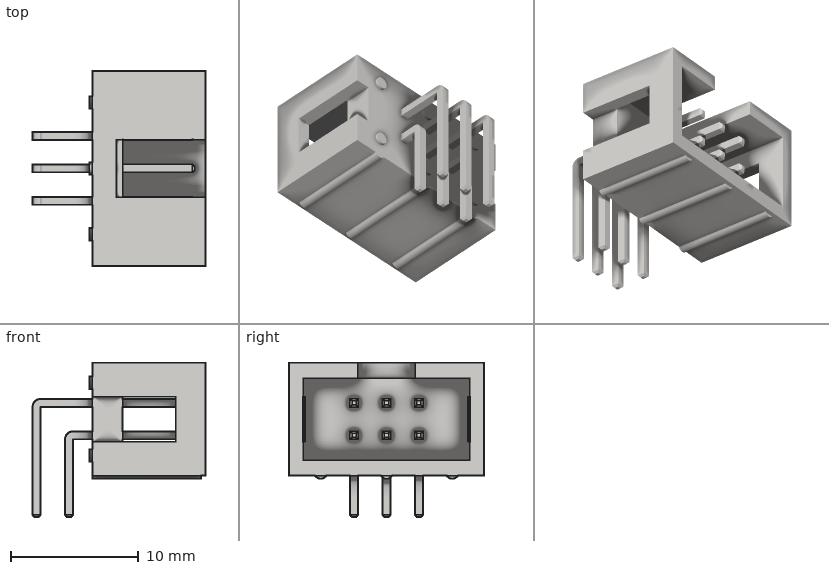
import cadquery as cq
import math

BODY_LENGTH = 8.85
BODY_WIDTH = 15.28
BODY_HEIGHT = 8.85
MID_HEIGHT = BODY_HEIGHT / 2

BASE_THICKNESS = 2.35
SIDE_WALL = 1.12
TOP_WALL = 1.22
CAVITY_DEPTH = BODY_LENGTH - BASE_THICKNESS

SLOT_WIDTH = 4.5
SLOT_LENGTH = 7.0

WINDOW_LENGTH = 6.5
WINDOW_HEIGHT = 3.5
BASE_NOTCH_DEPTH = 1.25

STANDOFF_DIAMETER = 1.0
STANDOFF_HEIGHT = 0.25
STANDOFF_PITCH = 5.15
STANDOFF_ROW_OFFSET = 2.85
RIB_LENGTH = 8.5
STANDOFF_YS = (-STANDOFF_PITCH, 0, STANDOFF_PITCH)

PITCH = 2.54
PINS_PER_ROW = 3
PIN_SIZE = 0.64
PIN_TIP_LENGTH = 0.18
PIN_TIP_INSET = 0.16
PIN_FRONT_X = BODY_LENGTH - 0.86
PIN_BOTTOM_Z = -3.25
OUTER_LEG_X = -4.38
INNER_LEG_X = OUTER_LEG_X + PITCH


def box(length, width, height, x_start, y_centre, z_start):
    """Box that starts at x_start and z_start and is centred on y_centre."""
    block = cq.Workplane("XY").box(length, width, height, centered=(False, True, False))
    return block.translate((x_start, y_centre, z_start))


def make_shroud():
    """Housing with its cavity, polarising slot and latch windows."""
    shroud = box(BODY_LENGTH, BODY_WIDTH, BODY_HEIGHT, 0, 0, 0)
    cavity = box(
        CAVITY_DEPTH, BODY_WIDTH - 2 * SIDE_WALL, BODY_HEIGHT - 2 * TOP_WALL,
        BASE_THICKNESS, 0, TOP_WALL,
    )
    slot = box(SLOT_LENGTH, SLOT_WIDTH, TOP_WALL, BODY_LENGTH - SLOT_LENGTH, 0, BODY_HEIGHT - TOP_WALL)
    shroud = shroud.cut(cavity).cut(slot)

    window_y = (BODY_WIDTH - BASE_NOTCH_DEPTH) / 2
    window_z = MID_HEIGHT - WINDOW_HEIGHT / 2
    for side in (-1, 1):
        window = box(WINDOW_LENGTH, BASE_NOTCH_DEPTH, WINDOW_HEIGHT, 0, side * window_y, window_z)
        shroud = shroud.cut(window)
    return shroud


def make_standoffs():
    """Two rows of low round standoffs on the back face, rooted in the base."""
    centres = [
        (y, MID_HEIGHT + row * STANDOFF_ROW_OFFSET)
        for y in STANDOFF_YS
        for row in (-1, 1)
    ]
    return (
        cq.Workplane("YZ", origin=(-STANDOFF_HEIGHT, 0, 0))
        .pushPoints(centres)
        .circle(STANDOFF_DIAMETER / 2)
        .extrude(STANDOFF_HEIGHT + BASE_THICKNESS / 2)
    )


def make_ribs():
    """Cylinders along X, sunk in the bottom wall so that only a low crown stands proud."""
    radius = STANDOFF_DIAMETER / 2
    axis_z = radius - STANDOFF_HEIGHT
    return (
        cq.Workplane("YZ")
        .pushPoints([(y, axis_z) for y in STANDOFF_YS])
        .circle(radius)
        .extrude(RIB_LENGTH)
    )


def pin_tip(x, z, direction):
    """Tapered pin end, growing from the point (x, z) along direction."""
    end_size = PIN_SIZE - 2 * PIN_TIP_INSET
    plane = cq.Plane(origin=(x, 0, z), xDir=(0, 1, 0), normal=direction)
    return (
        cq.Workplane(plane)
        .rect(PIN_SIZE, PIN_SIZE)
        .workplane(offset=PIN_TIP_LENGTH)
        .rect(end_size, end_size)
        .loft()
    )


def make_pin(leg_x, row_z):
    """Bent square pin on Y = 0, rounded about the sharp inner corner of its bend, tapered at both ends."""
    half = PIN_SIZE / 2
    arm_end = PIN_FRONT_X - PIN_TIP_LENGTH
    leg_end = PIN_BOTTOM_Z + PIN_TIP_LENGTH
    left = leg_x - half
    right = leg_x + half
    top = row_z + half
    bottom = row_z - half
    arc_middle = (right - PIN_SIZE * math.cos(math.pi / 4), bottom + PIN_SIZE * math.sin(math.pi / 4))
    bent = (
        cq.Workplane("XZ")
        .moveTo(left, leg_end)
        .lineTo(left, bottom)
        .threePointArc(arc_middle, (right, top))
        .lineTo(arm_end, top)
        .lineTo(arm_end, bottom)
        .lineTo(right, bottom)
        .lineTo(right, leg_end)
        .close()
        .extrude(half, both=True)
    )
    front_tip = pin_tip(arm_end, row_z, (1, 0, 0))
    bottom_tip = pin_tip(leg_x, leg_end, (0, 0, -1))
    return bent.union(front_tip).union(bottom_tip)


result = make_shroud().union(make_standoffs()).union(make_ribs())

upper_pin = make_pin(OUTER_LEG_X, MID_HEIGHT + PITCH / 2)
lower_pin = make_pin(INNER_LEG_X, MID_HEIGHT - PITCH / 2)
for index in range(PINS_PER_ROW):
    pin_y = (index - (PINS_PER_ROW - 1) / 2) * PITCH
    for pin in (upper_pin, lower_pin):
        result = result.union(pin.translate((0, pin_y, 0)))